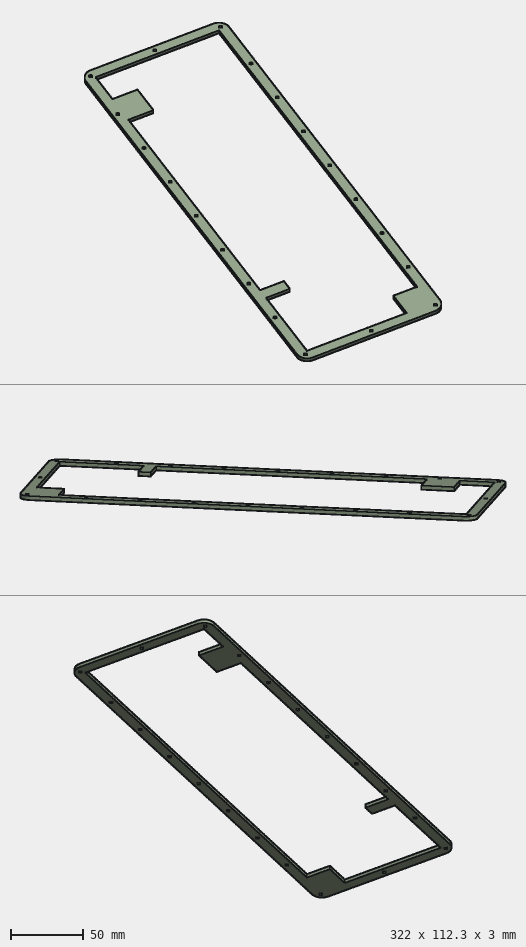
import cadquery as cq

length = 322.0
width = 112.3
thickness = 3.0
corner_radius = 8.0

rim = 7.7
window_length = length - 2 * rim
window_width = width - 2 * rim

wide_tab_left = 32.2
wide_tab_width = 23.2
wide_tab_reach = 27.5
narrow_tab_right = 67.0
narrow_tab_width = 8.7
narrow_tab_reach = 26.5
corner_pad_length = 27.0
corner_pad_width = 26.5

hole_diameter = 2.2
hole_pitch = 38.0
holes_per_long_side = 7
edge_hole_inset = rim / 2
corner_hole_inset = 5.0

left, right = -length / 2, length / 2
front, back = -width / 2, width / 2


def block(x_min, x_max, y_min, y_max):
    """Full-thickness block between the given X and Y limits."""
    return cq.Workplane("XY").box(
        x_max - x_min, y_max - y_min, thickness, centered=False
    ).translate((x_min, y_min, 0))


def hole_centers():
    """Rows along the long sides, one hole per short side and one per corner."""
    row_y = back - edge_hole_inset
    side_x = right - edge_hole_inset
    corner_x = right - corner_hole_inset
    corner_y = back - corner_hole_inset
    centers = []
    for side in (-1, 1):
        for i in range(holes_per_long_side):
            row_x = (i - (holes_per_long_side - 1) / 2) * hole_pitch
            centers.append((row_x, side * row_y))
        centers.append((side * side_x, 0))
        centers.append((side * corner_x, corner_y))
        centers.append((side * corner_x, -corner_y))
    return centers


plate = block(left, right, front, back)
window = block(-window_length / 2, window_length / 2, -window_width / 2, window_width / 2)
frame = plate.cut(window)

wide_tab_x = left + wide_tab_left
narrow_tab_x = right - narrow_tab_right
frame = frame.union(block(wide_tab_x, wide_tab_x + wide_tab_width, front, front + wide_tab_reach))
frame = frame.union(block(narrow_tab_x - narrow_tab_width, narrow_tab_x, front, front + narrow_tab_reach))
frame = frame.union(block(right - corner_pad_length, right, back - corner_pad_width, back))

outline = plate.edges("|Z").fillet(corner_radius)
frame = frame.intersect(outline)

holes = cq.Workplane("XY").pushPoints(hole_centers()).circle(hole_diameter / 2).extrude(thickness)
result = frame.cut(holes)